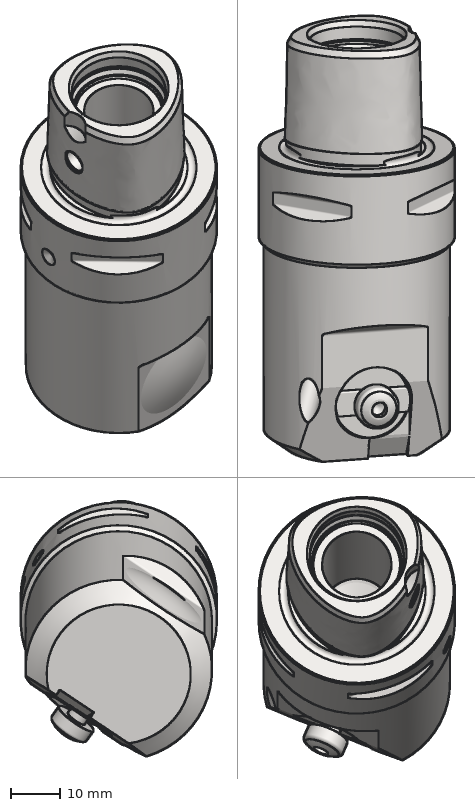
import cadquery as cq
import math


shank_height = 24.0
neck_height = 2.5
shank_chamfer_height = 1.4
shank_base_radius = 14.0
shank_taper = 1 / 40
shank_taper_height = shank_height - shank_chamfer_height
shank_top_radius = shank_base_radius - shank_taper * (shank_taper_height - neck_height)
shank_chamfer_width = 0.75
neck_step = 0.25
lobe_height = 0.9
lobe_count = 3
polygon_points = 48

flange_radius = 20.0
flange_bottom = -19.0
flange_top_chamfer = 0.3
body_radius = 19.0
body_bottom = -63.0
end_cone_radius = 14.67
end_cone_height = 3.3
undercut_ring_radius = 14.9
undercut_round = 1.0
undercut_z = 0.4

groove_count = 4
groove_middle = -7.8
groove_floor_distance = 17.7
groove_corner_round = 0.4
groove_floor_width = 2.5
relief_angle = math.radians(30)
dimple_radius = 2.0
dimple_depth = 1.15
dimple_z = -11.8

mouth_radius = 10.15
mouth_depth = 1.25
bore_radius = 9.6
bore_depth = 3.9
inner_groove_radius = 9.9
inner_groove_start = 4.4
inner_groove_end = 5.0
seat_radius = 9.2
seat_top_depth = 6.0
seat_depth = 6.8
seat_corner = 0.4
drill_radius = 7.05
drill_shoulder_radius = 6.3
drill_shoulder_height = 0.4
drill_tip = -16.0
drill_point_angle = math.radians(140 / 2)

notch_radius = 4.0
notch_center_y = -14.95
notch_bottom = 19.75
cross_hole_radius = 2.3
cross_hole_rim_radius = 2.65
cross_hole_rim_depth = 0.4
cross_hole_z = 11.5
shank_flat_side = shank_base_radius - lobe_height - shank_taper * (cross_hole_z - neck_height)

coolant_radius = 2.35
coolant_tilt = math.radians(30)
coolant_heading = math.radians(135)
coolant_lead = 3.0
coolant_exit_z = body_bottom + 14.0
coolant_axis_z = coolant_exit_z + body_radius / math.tan(coolant_tilt)

tool_flat_x = -15.4
tool_flat_top = body_bottom + 28.5
tool_slope_top = body_bottom + 17.0
tool_slope_angle = math.radians(15)
back_flat_x = 16.14
back_flat_top = body_bottom + 23.0
dome_base_radius = 9.3
dome_rise = 1.3
dome_round = (dome_base_radius**2 + dome_rise**2) / (2 * dome_rise)
relief_corner_round = 0.8

tool_axis_z = body_bottom + 12.7
disc_radius = 8.0
disc_chamfer = 0.2
disc_face_x = -12.2
disc_back_x = -7.0
key_face_x = -13.55
key_width = 5.1
key_round = 0.25
chip_edge_y = 0.37
chip_slope_top = tool_axis_z - disc_radius
screw_head_radius = 4.35
screw_head_back_x = -15.3
screw_head_edge_x = -17.7
screw_rim_x = -18.4
screw_rim_radius = 3.7
screw_rim_round = 0.75
screw_crown_round = 3.5
screw_head_face_x = -19.05
screw_face_radius = 2.15
screw_shank_radius = 2.1
socket_radius = 1.55
socket_depth = 1.6
socket_point = 0.8


def polygon_section(radius, z):
    """Closed three-lobed curve with one lobe toward +Y, at height z."""
    points = []
    for i in range(polygon_points):
        a = 2 * math.pi * i / polygon_points
        support = radius + lobe_height * math.cos(lobe_count * (a - math.pi / 2))
        slope = -lobe_count * lobe_height * math.sin(lobe_count * (a - math.pi / 2))
        x = support * math.cos(a) - slope * math.sin(a)
        y = support * math.sin(a) + slope * math.cos(a)
        points.append(cq.Vector(x, y, z))
    return cq.Wire.assembleEdges([cq.Edge.makeSpline(points, periodic=True)])


def polygon_stage(low_radius, low_z, high_radius, high_z):
    sections = [polygon_section(low_radius, low_z), polygon_section(high_radius, high_z)]
    return cq.Workplane(cq.Solid.makeLoft(sections, True))


def revolve_about_z(profile):
    return cq.Workplane("XZ").polyline(profile).close().revolve(360, (0, 0), (0, 1))


def disc_along_x(radius, x_from, x_to):
    """Round bar on the tool axis between two X positions."""
    return (
        cq.Workplane("YZ", origin=(x_from, 0, 0))
        .center(0, tool_axis_z)
        .circle(radius)
        .extrude(x_to - x_from)
    )


def side_cutter(profile):
    """Prism with an XZ profile that cuts right across the body."""
    return cq.Workplane("XZ").polyline(profile).close().extrude(flange_radius, both=True)


def make_shank():
    neck_radius = shank_base_radius - neck_step
    neck = polygon_stage(neck_radius, flange_bottom / 2, neck_radius, neck_height)
    taper = polygon_stage(shank_base_radius, neck_height, shank_top_radius, shank_taper_height)
    end_radius = shank_top_radius - shank_chamfer_width
    tip = polygon_stage(shank_top_radius, shank_taper_height, end_radius, shank_height)
    return neck.union(taper).union(tip)


def make_flange_and_body():
    return revolve_about_z([
        (0, 0),
        (flange_radius - flange_top_chamfer, 0),
        (flange_radius, -flange_top_chamfer),
        (flange_radius, flange_bottom),
        (body_radius, flange_bottom - (flange_radius - body_radius)),
        (body_radius, body_bottom + end_cone_height),
        (end_cone_radius, body_bottom),
        (0, body_bottom),
    ])


def make_undercut():
    """Rounded groove around the foot of the shank."""
    return (
        cq.Workplane("XZ")
        .center(undercut_ring_radius, undercut_z)
        .circle(undercut_round)
        .revolve(360, (-undercut_ring_radius, 0), (-undercut_ring_radius, 1))
    )


def make_gripper_groove(index):
    reach = flange_radius - groove_floor_distance
    half_floor = groove_floor_width / 2
    half_mouth = half_floor + reach * math.tan(relief_angle)
    groove = side_cutter([
        (groove_floor_distance, groove_middle - half_floor),
        (groove_floor_distance + reach, groove_middle - half_mouth),
        (groove_floor_distance + reach, groove_middle + half_mouth),
        (groove_floor_distance, groove_middle + half_floor),
    ])
    groove = groove.edges("|Y and <X").fillet(groove_corner_round)
    turn = 360 / groove_count
    return groove.rotate((0, 0, 0), (0, 0, 1), turn * (index + 0.5))


def make_dimple():
    start = cq.Vector(0, -flange_radius, dimple_z)
    return cq.Workplane(cq.Solid.makeCone(dimple_radius, 0, dimple_depth, start, cq.Vector(0, 1, 0)))


def make_cavity():
    seat_z = shank_height - seat_depth
    drill_shoulder = drill_tip + drill_shoulder_radius / math.tan(drill_point_angle)
    return revolve_about_z([
        (0, shank_height),
        (mouth_radius, shank_height),
        (bore_radius, shank_height - mouth_depth),
        (bore_radius, shank_height - bore_depth),
        (inner_groove_radius, shank_height - inner_groove_start),
        (inner_groove_radius, shank_height - inner_groove_end),
        (seat_radius, shank_height - seat_top_depth),
        (seat_radius, seat_z + seat_corner),
        (seat_radius - seat_corner, seat_z),
        (drill_radius, seat_z),
        (drill_radius, drill_shoulder + drill_shoulder_height),
        (drill_shoulder_radius, drill_shoulder),
        (0, drill_tip),
    ])


def make_key_notch():
    notch = revolve_about_z([
        (0, shank_height),
        (notch_radius, shank_height),
        (notch_radius, notch_bottom),
        (0, notch_bottom - notch_radius),
    ])
    return notch.translate((0, notch_center_y, 0))


def make_cross_hole():
    inward = cq.Vector(0, 1, 0)
    rim_start = cq.Vector(0, -shank_flat_side, cross_hole_z)
    hole_start = cq.Vector(0, -flange_radius, cross_hole_z)
    hole = cq.Solid.makeCylinder(cross_hole_radius, flange_radius, hole_start, inward)
    rim = cq.Solid.makeCone(
        cross_hole_rim_radius, cross_hole_radius, cross_hole_rim_depth, rim_start, inward
    )
    return cq.Workplane(hole).union(cq.Workplane(rim))


def make_coolant_hole():
    direction = cq.Vector(
        math.sin(coolant_tilt) * math.cos(coolant_heading),
        math.sin(coolant_tilt) * math.sin(coolant_heading),
        -math.cos(coolant_tilt),
    )
    start = cq.Vector(0, 0, coolant_axis_z) - direction * coolant_lead
    length = coolant_lead + (body_radius + 2 * coolant_radius) / math.sin(coolant_tilt)
    return cq.Workplane(cq.Solid.makeCylinder(coolant_radius, length, start, direction))


def make_tool_relief():
    """Flat on the -X side that turns inward as a slope toward the bottom."""
    slope_foot_x = tool_flat_x + (tool_slope_top - body_bottom) * math.tan(tool_slope_angle)
    rise = (flange_radius + tool_flat_x) * math.tan(relief_angle)
    relief = side_cutter([
        (-flange_radius, tool_flat_top + rise),
        (tool_flat_x, tool_flat_top),
        (tool_flat_x, tool_slope_top),
        (slope_foot_x, body_bottom),
        (-flange_radius, body_bottom),
    ])
    corner = cq.NearestToPointSelector((tool_flat_x, 0, tool_flat_top))
    return relief.edges(corner).fillet(relief_corner_round)


def make_back_relief():
    rise = (flange_radius - back_flat_x) * math.tan(relief_angle)
    relief = side_cutter([
        (flange_radius, back_flat_top + rise),
        (back_flat_x, back_flat_top),
        (back_flat_x, body_bottom),
        (flange_radius, body_bottom),
    ])
    corner = cq.NearestToPointSelector((back_flat_x, 0, back_flat_top))
    return relief.edges(corner).fillet(relief_corner_round)


def make_back_dome():
    """Low spherical cap standing on the +X flat, on the tool axis."""
    return (
        cq.Workplane("XY")
        .moveTo(back_flat_x - dome_rise, 0)
        .lineTo(back_flat_x - dome_rise, dome_base_radius)
        .lineTo(back_flat_x, dome_base_radius)
        .radiusArc((back_flat_x + dome_rise, 0), dome_round)
        .close()
        .revolve(360, (0, 0), (1, 0))
        .translate((0, 0, tool_axis_z))
    )


def make_chip_pocket():
    """Square corner beside the disc that runs out below as a slope."""
    slope_drop = chip_slope_top - body_bottom
    slope_foot_x = disc_face_x + slope_drop * math.tan(relief_angle)
    return (
        cq.Workplane("XZ", origin=(0, chip_edge_y, 0))
        .moveTo(-flange_radius, tool_axis_z)
        .lineTo(disc_face_x, tool_axis_z)
        .lineTo(disc_face_x, chip_slope_top)
        .lineTo(slope_foot_x, body_bottom)
        .lineTo(-flange_radius, body_bottom)
        .close()
        .extrude(disc_radius + chip_edge_y)
    )


def make_housing():
    housing = make_flange_and_body().union(make_shank())
    housing = housing.cut(make_undercut())
    for index in range(groove_count):
        housing = housing.cut(make_gripper_groove(index))
    housing = housing.cut(make_dimple())
    housing = housing.cut(make_cavity()).cut(make_key_notch()).cut(make_cross_hole())
    housing = housing.cut(make_tool_relief()).cut(make_back_relief())
    housing = housing.union(make_back_dome())
    housing = housing.cut(make_coolant_hole())
    housing = housing.cut(make_chip_pocket())
    return housing.cut(disc_along_x(disc_radius, -flange_radius, disc_back_x))


def make_cartridge():
    """Disc with a raised key across its face and a hole for the screw."""
    disc = disc_along_x(disc_radius, disc_face_x, disc_back_x).faces("<X").chamfer(disc_chamfer)
    key_band = (
        cq.Workplane("YZ", origin=(key_face_x, 0, 0))
        .center(0, tool_axis_z)
        .rect(2 * disc_radius, key_width)
        .extrude(disc_back_x - key_face_x)
        .edges("|Y and <X")
        .fillet(key_round)
    )
    key = disc_along_x(disc_radius - disc_chamfer, key_face_x, disc_back_x).intersect(key_band)
    return disc.union(key).cut(disc_along_x(screw_shank_radius, key_face_x, disc_back_x))


def make_screw():
    """Round-headed screw with a drilled socket, turned about the tool axis."""
    socket_floor_x = screw_head_face_x + socket_depth
    return (
        cq.Workplane("XY")
        .moveTo(socket_floor_x + socket_point, 0)
        .lineTo(socket_floor_x, socket_radius)
        .lineTo(screw_head_face_x, socket_radius)
        .lineTo(screw_head_face_x, screw_face_radius)
        .radiusArc((screw_rim_x, screw_rim_radius), screw_crown_round)
        .radiusArc((screw_head_edge_x, screw_head_radius), screw_rim_round)
        .lineTo(screw_head_back_x, screw_head_radius)
        .lineTo(screw_head_back_x, screw_shank_radius)
        .lineTo(disc_back_x, screw_shank_radius)
        .lineTo(disc_back_x, 0)
        .close()
        .revolve(360, (0, 0), (1, 0))
        .translate((0, 0, tool_axis_z))
    )


housing = make_housing()
cartridge = make_cartridge()
screw = make_screw()
result = cq.Compound.makeCompound([housing.val(), cartridge.val(), screw.val()])